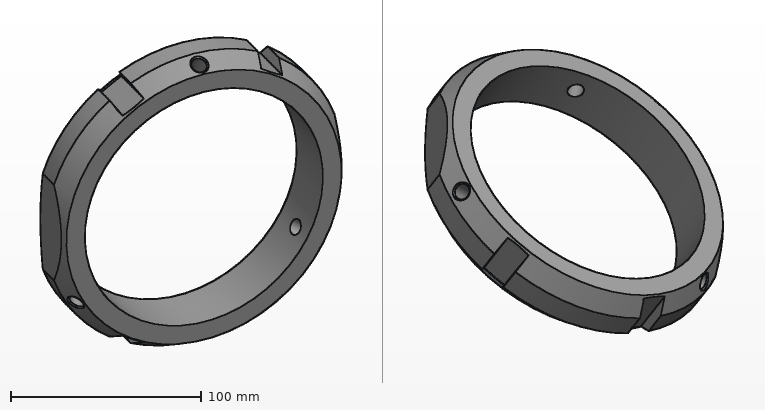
import cadquery as cq
import math

width = 32.0
outer_radius = 87.5
bore_radius = 70.0
collar_radius = 80.0
collar_width = 3.0
front_cone_angle = 60.0
back_cone_angle = 30.0
back_cone_width = 11.4
bore_mouth_diameter = 142.0
bore_chamfer = bore_mouth_diameter / 2 - bore_radius

across_flats = 165.0
slot_width = 14.4
slot_floor_radius = 81.5
slot_angles = (30, 150, 210, 330)

screw_diameter = 8.4
screw_mouth_diameter = 10.2
screw_angles = (0, 120, 240)
screw_mouth_depth = (screw_mouth_diameter - screw_diameter) / 2
screw_back_distance = 5.2
screw_depth = 26.2
cut_clearance = 8.8

back_cone_start = width - back_cone_width
front_cone_width = (outer_radius - collar_radius) / math.tan(math.radians(front_cone_angle))
back_cone_slope = math.tan(math.radians(back_cone_angle))
back_face_radius = outer_radius - back_cone_width * back_cone_slope
screw_x = width - screw_back_distance
screw_mouth_radius = outer_radius - (screw_x - back_cone_start) * back_cone_slope


def turned_ring():
    """Revolve the half section, with the bore chamfered at the collar face."""
    return (
        cq.Workplane("XZ")
        .moveTo(0, bore_radius + bore_chamfer)
        .lineTo(0, collar_radius)
        .lineTo(collar_width, collar_radius)
        .lineTo(collar_width + front_cone_width, outer_radius)
        .lineTo(back_cone_start, outer_radius)
        .lineTo(width, back_face_radius)
        .lineTo(width, bore_radius)
        .lineTo(bore_chamfer, bore_radius)
        .close()
        .revolve(360, (0, 0, 0), (1, 0, 0))
    )


def around_axis(tool, angle):
    """Turn a tool made at the top of the ring about the ring axis."""
    return tool.rotate((0, 0, 0), (1, 0, 0), angle)


def slot_cutter():
    """Flat-floored spanner slot running right across the rim."""
    depth = outer_radius - slot_floor_radius + cut_clearance
    return (
        cq.Workplane("XY")
        .box(width, slot_width, depth, centered=(False, True, False))
        .translate((0, 0, slot_floor_radius))
    )


def screw_cutter():
    """Countersunk hole whose axis is normal to the back cone."""
    tilt = math.radians(back_cone_angle)
    outward = cq.Vector(math.sin(tilt), 0, math.cos(tilt))
    mouth = cq.Vector(screw_x, 0, screw_mouth_radius)
    inward = outward * -1
    hole = cq.Solid.makeCylinder(screw_diameter / 2, screw_depth, mouth, inward)
    sink = cq.Solid.makeCone(
        screw_mouth_diameter / 2, screw_diameter / 2, screw_mouth_depth, mouth, inward
    )
    relief = cq.Solid.makeCylinder(screw_mouth_diameter / 2, cut_clearance, mouth, outward)
    return cq.Workplane(hole.fuse(sink, relief))


flats_envelope = cq.Workplane("XY").box(
    width, across_flats, 2 * outer_radius, centered=(False, True, True)
)
result = turned_ring().intersect(flats_envelope)
for slot_angle in slot_angles:
    result = result.cut(around_axis(slot_cutter(), slot_angle))
for screw_angle in screw_angles:
    result = result.cut(around_axis(screw_cutter(), screw_angle))